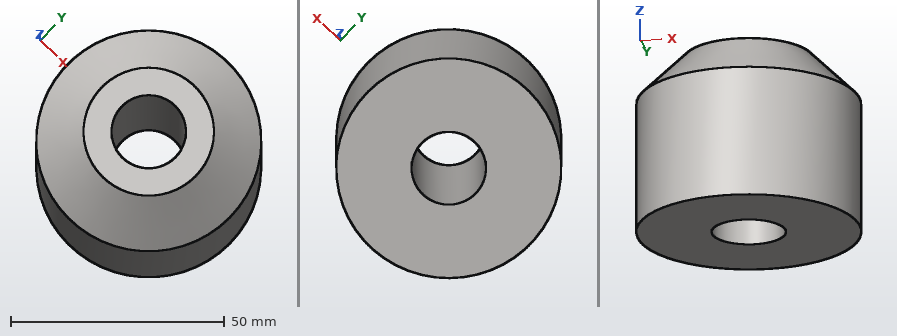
import cadquery as cq

body_diameter = 52.83
height = 42.8625
chamfer_size = 11.1125
bore_diameter = 17.4625


def make_body():
    """Upright cylinder standing on Z = 0 with a wide bevel around its top rim."""
    cylinder = cq.Workplane("XY").circle(body_diameter / 2).extrude(height)
    return cylinder.faces(">Z").edges().chamfer(chamfer_size)


def make_bore():
    """Cylinder removed along the axis, through the full height."""
    return cq.Workplane("XY").circle(bore_diameter / 2).extrude(height)


result = make_body().cut(make_bore())